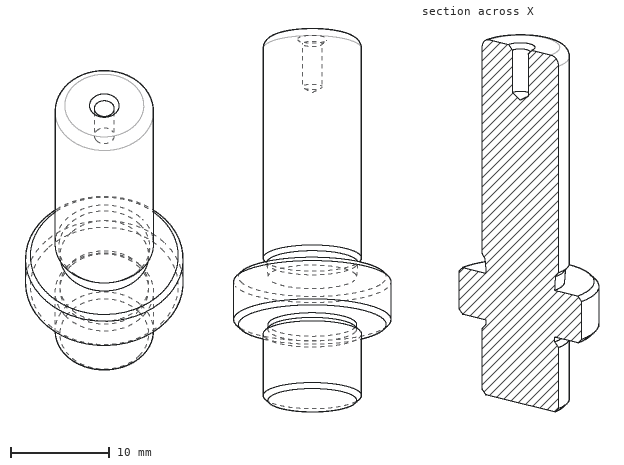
import cadquery as cq
import math

total_height = 38.0
flange_bottom = 7.98
flange_thickness = 5.0
flange_top = flange_bottom + flange_thickness
neck_height = 1.5
lower_neck_height = 0.5

pin_radius = 10.0 / 2
flange_radius = 16.0 / 2

chamfer = 0.5
top_round = 1.0
neck_radius = pin_radius - chamfer
upper_neck_taper = 0.1

hole_radius = 2.0 / 2
countersink_radius = 3.0 / 2
hole_depth = 5.0
drill_half_angle = math.radians(59)


def make_body():
    """Revolve the stepped half profile (radius, height) about Z."""
    round_start = total_height - top_round
    round_offset = top_round * math.sqrt(0.5)
    round_middle = (
        pin_radius - top_round + round_offset,
        round_start + round_offset,
    )
    profile = (
        cq.Workplane("XZ")
        .moveTo(0, 0)
        .lineTo(pin_radius - chamfer, 0)
        .lineTo(pin_radius, chamfer)
        .lineTo(pin_radius, flange_bottom - lower_neck_height - chamfer)
        .lineTo(neck_radius, flange_bottom - lower_neck_height)
        .lineTo(neck_radius, flange_bottom)
        .lineTo(flange_radius - chamfer, flange_bottom)
        .lineTo(flange_radius, flange_bottom + chamfer)
        .lineTo(flange_radius, flange_top - chamfer)
        .lineTo(flange_radius - chamfer, flange_top)
        .lineTo(neck_radius, flange_top)
        .lineTo(neck_radius + upper_neck_taper, flange_top + neck_height)
        .lineTo(pin_radius, flange_top + neck_height + chamfer)
        .lineTo(pin_radius, round_start)
        .threePointArc(round_middle, (pin_radius - top_round, total_height))
        .lineTo(0, total_height)
        .close()
    )
    return profile.revolve(360, (0, 0, 0), (0, 1, 0))


def make_center_hole():
    """Countersunk drilled hole with a conical bottom."""
    countersink_bottom = total_height - (countersink_radius - hole_radius)
    hole_bottom = total_height - hole_depth
    tip = hole_bottom - hole_radius / math.tan(drill_half_angle)
    profile = (
        cq.Workplane("XZ")
        .moveTo(0, total_height)
        .lineTo(countersink_radius, total_height)
        .lineTo(hole_radius, countersink_bottom)
        .lineTo(hole_radius, hole_bottom)
        .lineTo(0, tip)
        .close()
    )
    return profile.revolve(360, (0, 0, 0), (0, 1, 0))


result = make_body().cut(make_center_hole())